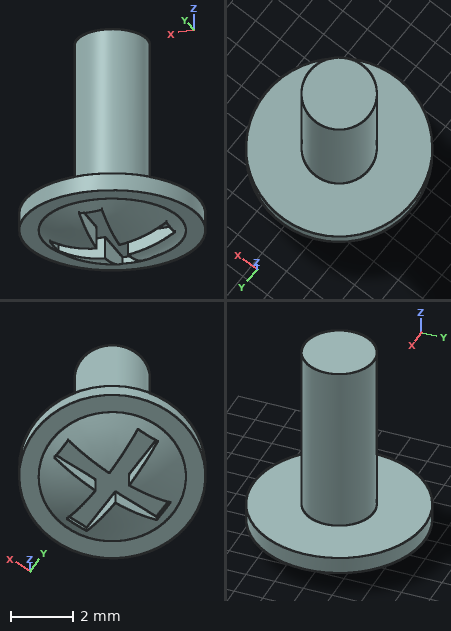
import cadquery as cq
import math

total_height = 7.36
shaft_diameter = 2.43
shaft_length = 6.0
flange_diameter = 6.0
flange_thickness = 0.6
dome_base_radius = 2.37
slot_width = 0.78
slot_length = 4.005

dome_height = total_height - shaft_length - flange_thickness
corner_radius = slot_width / math.sqrt(2)

sphere_center_height = (
    dome_base_radius**2 - corner_radius**2 - dome_height**2
) / (2 * dome_height)
sphere_radius = math.hypot(dome_base_radius, sphere_center_height)
dome_tip_height = sphere_radius - sphere_center_height


def make_shaft():
    return cq.Workplane("XY").circle(shaft_diameter / 2).extrude(shaft_length)


def make_flange():
    return cq.Workplane("XY").circle(flange_diameter / 2).extrude(-flange_thickness)


def make_dome():
    """Spherical cap hanging below the flange."""
    arc_mid_radius = dome_base_radius / 2
    arc_mid_height = math.sqrt(sphere_radius**2 - arc_mid_radius**2) - sphere_center_height
    return (
        cq.Workplane("XZ", origin=(0, 0, -flange_thickness))
        .lineTo(dome_base_radius, 0)
        .threePointArc((arc_mid_radius, -arc_mid_height), (0, -dome_tip_height))
        .close()
        .revolve(360, (0, 0), (0, 1))
    )


def make_cross_slot():
    """Two perpendicular slots, closed at both ends, cut through the dome to the flange face."""
    floor = cq.Workplane("XY", origin=(0, 0, -flange_thickness))
    slot_along_x = floor.rect(slot_length, slot_width).extrude(-dome_tip_height)
    slot_along_y = floor.rect(slot_width, slot_length).extrude(-dome_tip_height)
    return slot_along_x.union(slot_along_y)


head = make_flange().union(make_dome()).cut(make_cross_slot())
result = head.union(make_shaft())